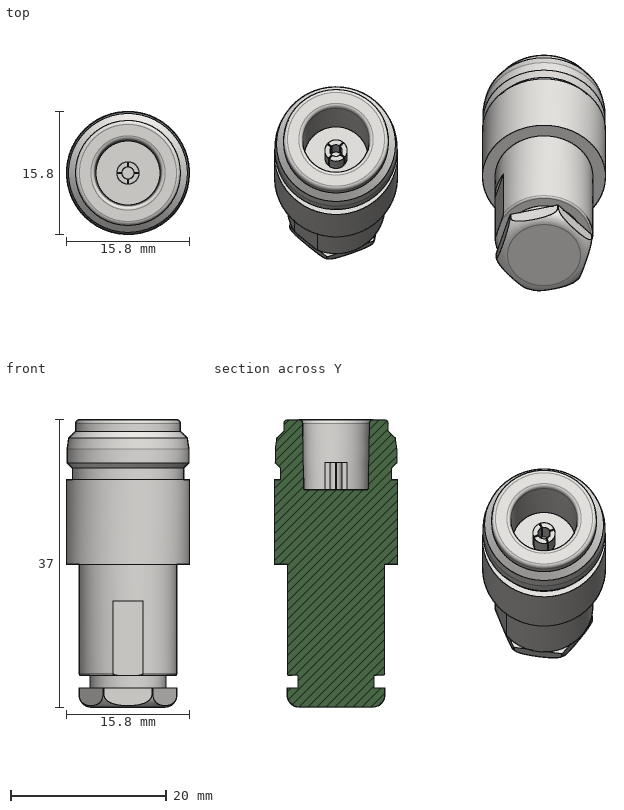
import cadquery as cq
import math

total_length = 37.02

lip_diameter = 13.5
lip_edge_radius = 0.5
lip_length = 1.5
ring_diameter = 15.72
ring_shoulder_diameter = 15.3
ring_shoulder_depth = 2.35
ring_top_depth = 3.8
ring_bottom_depth = 5.57
groove_diameter = 14.36
groove_top_depth = ring_bottom_depth + (ring_diameter - groove_diameter) / 2

sleeve_diameter = 15.85
sleeve_top_depth = 7.72
sleeve_bottom_depth = 18.63
body_diameter = 12.6
body_bottom_depth = 32.92
body_edge_radius = 0.25
neck_diameter = 9.8

body_flat_width = 12.0
body_flat_top_depth = 23.35

nut_flat_width = 11.0
nut_corner_diameter = 12.6
nut_height = 2.5
nut_edge_radius = 1.6

bore_mouth_diameter = 8.56
bore_floor_diameter = 8.24
bore_edge_radius = 0.5
bore_depth = 9.0

pin_diameter = 2.86
pin_height = 3.5
socket_diameter = 1.56
slot_width = 0.15


def z_at(depth):
    """Height of a point that lies the given depth below the mating face."""
    return total_length - depth


def cylinder(diameter, z_bottom, z_top):
    return cq.Workplane("XY").workplane(offset=z_bottom).circle(diameter / 2).extrude(z_top - z_bottom)


def make_turned_shell():
    """Neck, sleeve and coupling end as one turned profile; the neck runs up inside the body."""
    outline = [
        (0, nut_height),
        (neck_diameter / 2, nut_height),
        (neck_diameter / 2, z_at(sleeve_bottom_depth)),
        (sleeve_diameter / 2, z_at(sleeve_bottom_depth)),
        (sleeve_diameter / 2, z_at(sleeve_top_depth)),
        (groove_diameter / 2, z_at(sleeve_top_depth)),
        (groove_diameter / 2, z_at(groove_top_depth)),
        (ring_diameter / 2, z_at(ring_bottom_depth)),
        (ring_diameter / 2, z_at(ring_top_depth)),
        (ring_shoulder_diameter / 2, z_at(ring_shoulder_depth)),
        (lip_diameter / 2, z_at(lip_length)),
        (lip_diameter / 2, total_length),
        (0, total_length),
    ]
    shell = cq.Workplane("XZ").polyline(outline).close().revolve(360, (0, 0, 0), (0, 1, 0))
    return shell.faces(">Z").edges().fillet(lip_edge_radius)


def make_body():
    """Cylinder with a rounded lower rim and wrench flats facing -Y and +Y."""
    bottom = z_at(body_bottom_depth)
    body = cylinder(body_diameter, bottom, z_at(sleeve_bottom_depth))
    body = body.faces("<Z").edges().fillet(body_edge_radius)
    flat_cutters = (
        cq.Workplane("XY")
        .workplane(offset=bottom)
        .pushPoints([(0, -body_flat_width), (0, body_flat_width)])
        .rect(body_diameter, body_flat_width)
        .extrude(z_at(body_flat_top_depth) - bottom)
    )
    return body.cut(flat_cutters)


def make_bore():
    """Tapered cutter for the mating bore, flared by the rounded mouth."""
    mouth_radius = bore_mouth_diameter / 2
    arc_shift = bore_edge_radius * (1 - math.sqrt(0.5))
    return (
        cq.Workplane("XZ")
        .moveTo(0, z_at(bore_depth))
        .lineTo(bore_floor_diameter / 2, z_at(bore_depth))
        .lineTo(mouth_radius, z_at(bore_edge_radius))
        .threePointArc(
            (mouth_radius + arc_shift, z_at(arc_shift)),
            (mouth_radius + bore_edge_radius, total_length),
        )
        .lineTo(0, total_length)
        .close()
        .revolve(360, (0, 0, 0), (0, 1, 0))
    )


def make_pin():
    floor = z_at(bore_depth)
    return cylinder(pin_diameter, floor, floor + pin_height)


def make_pin_socket():
    """Round socket of the pin together with its two crossing slots."""
    floor = z_at(bore_depth)
    slot_length = pin_diameter + slot_width
    socket = cylinder(socket_diameter, floor, floor + pin_height)
    for angle in (0, 90):
        slot = (
            cq.Workplane("XY")
            .workplane(offset=floor)
            .rect(slot_length, slot_width)
            .extrude(pin_height)
            .rotate((0, 0, 0), (0, 0, 1), angle)
        )
        socket = socket.union(slot)
    return socket


def make_nut():
    """Hexagon nut with flats facing -Y and +Y and a rounded lower rim."""
    corner_distance = nut_flat_width / math.cos(math.pi / 6)
    hexagon = cq.Workplane("XY").polygon(6, corner_distance).extrude(nut_height)
    rounded_blank = cylinder(nut_corner_diameter, 0, nut_height).faces("<Z").edges().fillet(nut_edge_radius)
    return hexagon.intersect(rounded_blank)


outside = make_turned_shell().union(make_body()).union(make_nut())
result = outside.cut(make_bore()).union(make_pin()).cut(make_pin_socket())